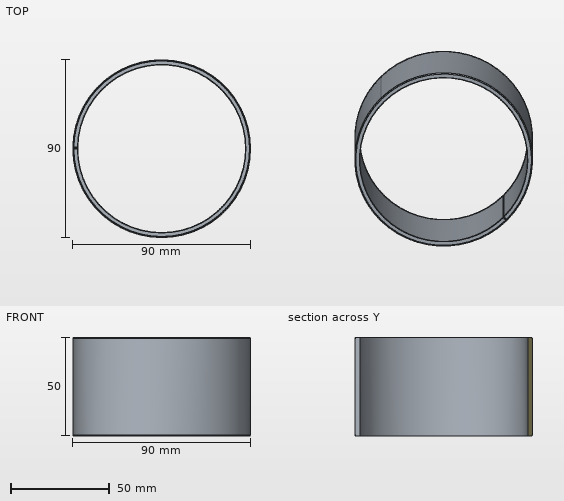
import cadquery as cq

outer_diameter = 90.0
wall = 2.5
length = 50.0
split_gap = 0.7

outer_chamfer = 0.5
inner_chamfer = 0.2

outer_radius = outer_diameter / 2
inner_radius = outer_radius - wall
half_length = length / 2


def wall_section():
    """Half plane section of the wall, X as radius and Y as height."""
    upper_half = [
        (outer_radius, half_length - outer_chamfer),
        (outer_radius - outer_chamfer, half_length),
        (inner_radius + inner_chamfer, half_length),
        (inner_radius, half_length - inner_chamfer),
    ]
    lower_half = [(radius, -height) for radius, height in reversed(upper_half)]
    return cq.Workplane("XZ").polyline(upper_half + lower_half).close()


def split_cutter():
    """Thin slab through the wall on the -X side, lying just on the +Y side of the axis."""
    return cq.Workplane("XY").box(
        outer_radius, split_gap, length, centered=(False, False, True)
    ).translate((-outer_radius, 0, 0))


ring = wall_section().revolve(360, (0, 0, 0), (0, 1, 0))
result = ring.cut(split_cutter())